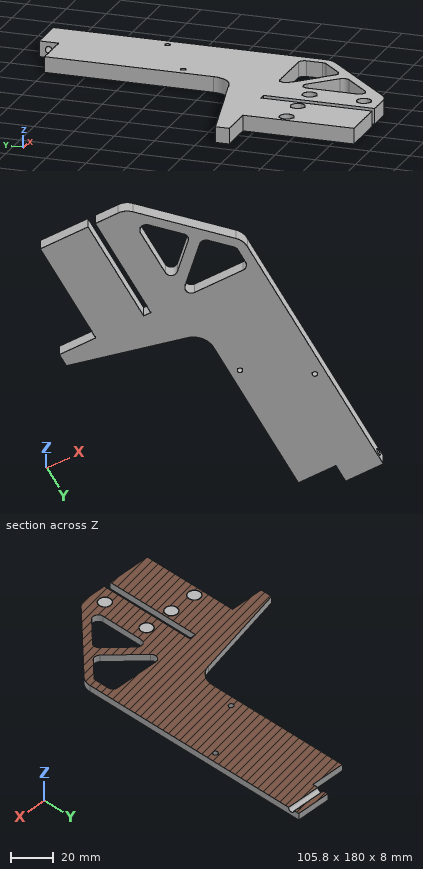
import cadquery as cq
import math

WIDTH = 105.8
LENGTH = 180.0
THICKNESS = 8.0

BODY_LEFT = 65.7
TAB_LEFT = 85.7
TAB_LENGTH = 9.7
ARM_BOTTOM = 55.3
ARM_TIP_HEIGHT = 7.0
ARM_SLOPE = 13.1
LEG_LEFT = 19.5
ARM_FILLET = 10.8
CHAMFER_START = 64.8
CORNER_FILLET = 9.0

SLOT_LEFT = 45.0
SLOT_WIDTH = 3.8

RIM_WIDTH = 4.9
RIGHT_RIM_WIDTH = 4.9
LOWER_WINDOW_LEFT = 65.2
STRUT_LOWER_SUM = 111.8
STRUT_WIDTH = 5.8
WINDOW_FILLET = 3.0

BLIND_HOLE_DIAMETER = 7.0
BLIND_HOLE_DEPTH = 4.0
BLIND_HOLE_ROW = 35.3
BLIND_HOLE_X = (24.5, 40.1, 57.0)
BLIND_HOLE_LOW_Y = 8.3
PIN_HOLE_DIAMETER = 2.5
PIN_HOLES = [(70.7, 103.0), (100.8, 121.3)]
TAB_HOLE_DIAMETER = 3.5


def prism(points):
    """Extrude a closed outline through the plate thickness."""
    return cq.Workplane("XY").polyline(points).close().extrude(THICKNESS)


def round_corner(plate, x, y, radius):
    """Fillet the vertical edge that stands at (x, y)."""
    return plate.edges(cq.selectors.NearestToPointSelector((x, y, THICKNESS / 2))).fillet(radius)


def make_plate():
    arm_tip_top = ARM_BOTTOM + ARM_TIP_HEIGHT
    arm_root = arm_tip_top + BODY_LEFT * math.tan(math.radians(ARM_SLOPE))
    chamfer_end = WIDTH - CHAMFER_START
    shoulder = LENGTH - TAB_LENGTH
    plate = prism([
        (LEG_LEFT, 0),
        (CHAMFER_START, 0),
        (WIDTH, chamfer_end),
        (WIDTH, LENGTH),
        (TAB_LEFT, LENGTH),
        (TAB_LEFT, shoulder),
        (BODY_LEFT, shoulder),
        (BODY_LEFT, arm_root),
        (0, arm_tip_top),
        (0, ARM_BOTTOM),
        (LEG_LEFT, ARM_BOTTOM),
    ])
    plate = round_corner(plate, BODY_LEFT, arm_root, ARM_FILLET)
    plate = round_corner(plate, CHAMFER_START, 0, CORNER_FILLET)
    return round_corner(plate, WIDTH, chamfer_end, CORNER_FILLET)


def make_slot():
    return cq.Workplane("XY").box(SLOT_WIDTH, ARM_BOTTOM, THICKNESS, centered=False).translate((SLOT_LEFT, 0, 0))


def make_windows():
    rim_offset = CHAMFER_START - RIM_WIDTH * math.sqrt(2)
    strut_upper_sum = STRUT_LOWER_SUM + STRUT_WIDTH * math.sqrt(2)
    right = WIDTH - RIGHT_RIM_WIDTH
    upper = prism([
        (strut_upper_sum - ARM_BOTTOM, ARM_BOTTOM),
        ((strut_upper_sum + rim_offset) / 2, (strut_upper_sum - rim_offset) / 2),
        (right, right - rim_offset),
        (right, ARM_BOTTOM),
    ])
    lower = prism([
        (LOWER_WINDOW_LEFT, LOWER_WINDOW_LEFT - rim_offset),
        ((STRUT_LOWER_SUM + rim_offset) / 2, (STRUT_LOWER_SUM - rim_offset) / 2),
        (LOWER_WINDOW_LEFT, STRUT_LOWER_SUM - LOWER_WINDOW_LEFT),
    ])
    return [window.edges("|Z").fillet(WINDOW_FILLET) for window in (upper, lower)]


def make_blind_holes():
    centers = [(x, BLIND_HOLE_ROW) for x in BLIND_HOLE_X]
    centers.append((BLIND_HOLE_X[-1], BLIND_HOLE_LOW_Y))
    floor = cq.Workplane("XY").workplane(offset=THICKNESS - BLIND_HOLE_DEPTH)
    return floor.pushPoints(centers).circle(BLIND_HOLE_DIAMETER / 2).extrude(BLIND_HOLE_DEPTH)


def make_pin_holes():
    return cq.Workplane("XY").pushPoints(PIN_HOLES).circle(PIN_HOLE_DIAMETER / 2).extrude(THICKNESS)


def make_tab_hole():
    """Hole running along X through the middle of the end tab."""
    side = cq.Workplane("YZ").workplane(offset=TAB_LEFT)
    center = side.center(LENGTH - TAB_LENGTH / 2, THICKNESS / 2)
    return center.circle(TAB_HOLE_DIAMETER / 2).extrude(WIDTH - TAB_LEFT)


result = make_plate()
for cutter in [make_slot(), *make_windows(), make_blind_holes(), make_pin_holes(), make_tab_hole()]:
    result = result.cut(cutter)